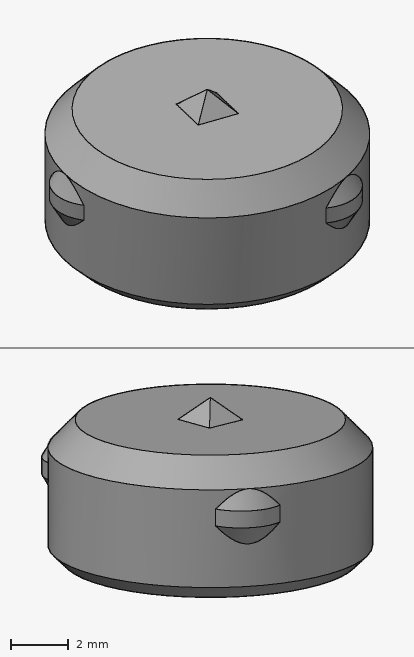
import cadquery as cq
import math

body_radius = 5.65
body_height = 5.01
top_chamfer_width = 0.95
top_chamfer_height = 1.0
bottom_chamfer = 0.49

pyramid_height = 0.8
pyramid_half_side = pyramid_height

nub_count = 3
first_nub_angle = -90
nub_radius = 1.55
nub_center_distance = 4.5
nub_half_height = 1.0
nub_band_half_height = 0.3
nub_cone_slope = 60
nub_center_z = body_height - top_chamfer_height - nub_half_height
nub_end_radius = nub_radius - (nub_half_height - nub_band_half_height) / math.tan(
    math.radians(nub_cone_slope)
)


def make_body():
    """Disc with a large chamfer above and a small one below."""
    return (
        cq.Workplane("XZ")
        .moveTo(0, 0)
        .lineTo(body_radius - bottom_chamfer, 0)
        .lineTo(body_radius, bottom_chamfer)
        .lineTo(body_radius, body_height - top_chamfer_height)
        .lineTo(body_radius - top_chamfer_width, body_height)
        .lineTo(0, body_height)
        .close()
        .revolve(360, (0, 0, 0), (0, 1, 0))
    )


def make_pyramid():
    """Pointed pyramid closed by a square base and four triangles."""
    corners = [
        cq.Vector(x * pyramid_half_side, y * pyramid_half_side, body_height)
        for x, y in ((-1, -1), (1, -1), (1, 1), (-1, 1))
    ]
    apex = cq.Vector(0, 0, body_height + pyramid_height)
    faces = [cq.Face.makeFromWires(cq.Wire.makePolygon(corners, close=True))]
    for index, corner in enumerate(corners):
        side = [corner, corners[(index + 1) % len(corners)], apex]
        faces.append(cq.Face.makeFromWires(cq.Wire.makePolygon(side, close=True)))
    return cq.Workplane(cq.Solid.makeSolid(cq.Shell.makeShell(faces)))


def make_nub(angle):
    """Nub turned about its own vertical axis, then placed around the body."""
    return (
        cq.Workplane("XZ")
        .moveTo(0, -nub_half_height)
        .lineTo(nub_end_radius, -nub_half_height)
        .lineTo(nub_radius, -nub_band_half_height)
        .lineTo(nub_radius, nub_band_half_height)
        .lineTo(nub_end_radius, nub_half_height)
        .lineTo(0, nub_half_height)
        .close()
        .revolve(360, (0, 0, 0), (0, 1, 0))
        .translate((nub_center_distance, 0, nub_center_z))
        .rotate((0, 0, 0), (0, 0, 1), angle)
    )


result = make_body().union(make_pyramid())
for nub_index in range(nub_count):
    result = result.union(make_nub(first_nub_angle + nub_index * 360 / nub_count))